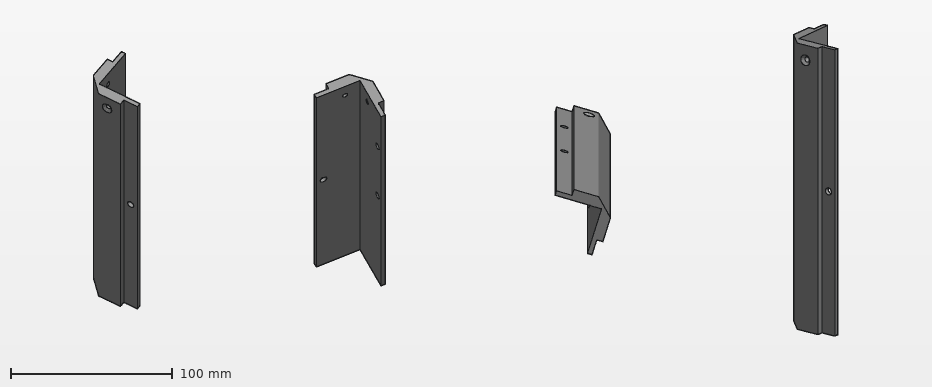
import cadquery as cq

length = 188.5
leg_width = 37.0
leg_thickness = 7.0
flange_thickness = 3.0
flange_width = 10.0
corner_chamfer = 11.0
chamfer_edge_radius = 1.5

screw_diameter = 3.4
countersink_diameter = 7.0
countersink_angle = 90.0
screw_offset = 17.1
screw_height = length - 10.0

flange_hole_diameter = 4.5
flange_hole_offset = leg_width - flange_width / 2
middle_height = length / 2
upper_height = length - 39.5

step_depth = leg_thickness - flange_thickness
step_offset = leg_width - flange_width


def make_profile():
    """Extrude the stepped angle and round both edges of its corner chamfer."""
    outline = [
        (corner_chamfer, 0),
        (step_offset, 0),
        (step_offset, step_depth),
        (leg_width, step_depth),
        (leg_width, leg_thickness),
        (leg_thickness, leg_thickness),
        (leg_thickness, leg_width),
        (step_depth, leg_width),
        (step_depth, step_offset),
        (0, step_offset),
        (0, corner_chamfer),
    ]
    body = cq.Workplane("XY").polyline(outline).close().extrude(length)
    for x, y in ((corner_chamfer, 0), (0, corner_chamfer)):
        corner_edge = cq.selectors.NearestToPointSelector((x, y, length / 2))
        body = body.edges("|Z").edges(corner_edge).fillet(chamfer_edge_radius)
    return body


def front_face(depth):
    """Plane facing -Y, set back from the outer face, with local axes X and Z."""
    return cq.Plane(origin=(0, depth, 0), xDir=(1, 0, 0), normal=(0, -1, 0))


def left_face(depth):
    """Plane facing -X, set back from the outer face, with local axes -Y and Z."""
    return cq.Plane(origin=(depth, 0, 0), xDir=(0, -1, 0), normal=(-1, 0, 0))


def drill_screw_hole(body, plane, across):
    """Cut a countersunk hole through the full leg thickness."""
    target = body.copyWorkplane(cq.Workplane(plane)).pushPoints([(across, screw_height)])
    return target.cskHole(screw_diameter, countersink_diameter, countersink_angle, depth=leg_thickness)


def drill_flange_hole(body, plane, across, height):
    """Cut a plain hole through the thin flange."""
    target = body.copyWorkplane(cq.Workplane(plane)).pushPoints([(across, height)])
    return target.hole(flange_hole_diameter, depth=flange_thickness)


result = make_profile()
result = drill_screw_hole(result, front_face(0), screw_offset)
result = drill_screw_hole(result, left_face(0), -screw_offset)
result = drill_flange_hole(result, front_face(step_depth), flange_hole_offset, middle_height)
for hole_height in (middle_height, upper_height):
    result = drill_flange_hole(result, left_face(step_depth), -flange_hole_offset, hole_height)